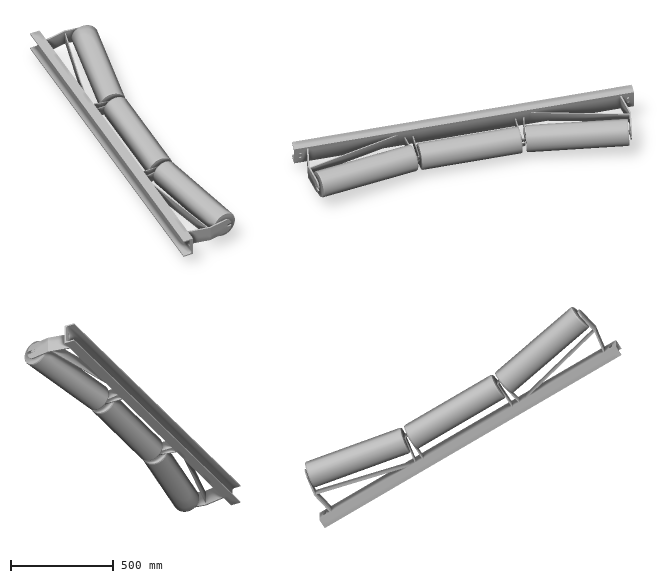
import cadquery as cq
import math

channel_length = 1700.0
channel_height = 100.0
channel_depth = 51.0
channel_wall = 7.0
channel_root_radius = 12.0
mount_slot_inset = 30.0
mount_slot_width = 15.0
mount_slot_length = 37.0

roller_radius = 66.0
roller_length = 502.0
rim_length = 6.0
rim_drop = 2.5
spindle_radius = 10.0
spindle_flats = 14.0
trough_angle = 10.0
forward_tilt = 2.2
centre_roller_y = 170.0
centre_roller_z = -20.0
wing_roller_x = 529.0
wing_roller_y = 215.0
wing_roller_z = -10.0

inner_plate_thickness = 6.0
outer_plate_thickness = 7.6
outer_bracket_width = 80.0
inner_bracket_width = 50.0
outer_tip_radius = 42.0
inner_gap = 2.5
outer_gap = 7.6
spindle_slot_width = 15.0
outer_bend_y = 167.0
outer_tip_y = 292.0
inner_bracket_top = 194.0
inner_bend_radius = 8.0
strut_thickness = 5.0
strut_width = 55.0
strut_foot_x = 340.0

sin_trough = math.sin(math.radians(trough_angle))
cos_trough = math.cos(math.radians(trough_angle))
tan_trough = math.tan(math.radians(trough_angle))
sin_tilt = math.sin(math.radians(forward_tilt))
cos_tilt = math.cos(math.radians(forward_tilt))

inner_reach = inner_gap + inner_plate_thickness
outer_reach = outer_gap + outer_plate_thickness
inner_leg_x = inner_plate_thickness / cos_trough
outer_leg_x = outer_plate_thickness / cos_trough
through = 3 * outer_plate_thickness


def wing_axis_point(distance):
    """Point on the left wing roller axis, a distance outward (-X) from its middle."""
    flat = distance * cos_tilt
    return cq.Vector(
        -wing_roller_x - flat * cos_trough,
        wing_roller_y + flat * sin_trough,
        wing_roller_z + distance * sin_tilt,
    )


def wing_plane(distance):
    """Plane of a sloping leg: local x runs up the leg, local y is Z."""
    return cq.Plane(
        origin=wing_axis_point(distance),
        xDir=(sin_trough, cos_trough, 0),
        normal=(cos_trough, -sin_trough, 0),
    )


def mirrored(body):
    return body.mirror("YZ")


def make_channel():
    half_height = channel_height / 2
    inner_half = half_height - channel_wall
    web_inside = channel_depth - channel_wall
    channel = (
        cq.Workplane("YZ")
        .polyline([
            (0, -half_height),
            (channel_depth, -half_height),
            (channel_depth, half_height),
            (0, half_height),
            (0, inner_half),
            (web_inside, inner_half),
            (web_inside, -inner_half),
            (0, -inner_half),
        ])
        .close()
        .extrude(channel_length / 2, both=True)
    )
    inside_corners = cq.selectors.BoxSelector(
        (-channel_length, web_inside - channel_wall / 2, -inner_half - channel_wall / 2),
        (channel_length, web_inside + channel_wall / 2, inner_half + channel_wall / 2),
    )
    channel = channel.edges("|X").edges(inside_corners).fillet(channel_root_radius)
    mount_slot_x = channel_length / 2 - mount_slot_inset
    mount_slots = (
        cq.Workplane("XZ")
        .pushPoints([(-mount_slot_x, 0), (mount_slot_x, 0)])
        .slot2D(mount_slot_length, mount_slot_width, 90)
        .extrude(-channel_depth)
    )
    return channel.cut(mount_slots)


def make_roller(left_reach, right_reach):
    """Roller along X, centred on the origin, with a flatted spindle past each end."""
    half_length = roller_length / 2
    rim_radius = roller_radius - rim_drop
    shell = (
        cq.Workplane("XY")
        .polyline([
            (-half_length, 0),
            (-half_length, rim_radius),
            (-half_length + rim_length, roller_radius),
            (half_length - rim_length, roller_radius),
            (half_length, rim_radius),
            (half_length, 0),
        ])
        .close()
        .revolve(360, (0, 0, 0), (1, 0, 0))
    )
    spindle_length = left_reach + roller_length + right_reach
    spindle = (
        cq.Workplane("YZ", origin=(-half_length - left_reach, 0, 0))
        .circle(spindle_radius)
        .extrude(spindle_length)
    )
    flats = cq.Workplane("XY").box(2 * spindle_length, 2 * spindle_radius, spindle_flats)
    return shell.union(spindle.intersect(flats))


def make_wing_roller():
    return (
        make_roller(outer_reach, inner_reach)
        .rotate((0, 0, 0), (0, 1, 0), forward_tilt)
        .rotate((0, 0, 0), (0, 0, 1), -trough_angle)
        .translate(wing_axis_point(0))
    )


def spindle_slot(plane):
    """Cutter for an open-topped slot whose floor carries a spindle lying on the plane's origin."""
    slot_depth = 2 * roller_radius
    return (
        cq.Workplane(plane)
        .center(slot_depth / 2 - spindle_radius, 0)
        .rect(slot_depth, spindle_slot_width)
        .extrude(through / 2, both=True)
    )


def rounded_tongue(plane, tip):
    """Outer bracket outline with an arched end; tip is its distance up the plane's local x."""
    half_width = outer_bracket_width / 2
    arc_rise = outer_tip_radius - math.sqrt(outer_tip_radius ** 2 - half_width ** 2)
    shoulder = tip - arc_rise
    bottom = -2 * outer_tip_y
    return (
        cq.Workplane(plane)
        .center(0, -plane.origin.z)
        .moveTo(bottom, -half_width)
        .lineTo(shoulder, -half_width)
        .threePointArc((tip, 0), (shoulder, half_width))
        .lineTo(bottom, half_width)
        .close()
        .extrude(outer_tip_y, both=True)
    )


outer_face = wing_axis_point(roller_length / 2 + outer_reach)
outer_bend_x = outer_face.x - (outer_face.y - outer_bend_y) * tan_trough


def make_outer_bracket():
    """Left end plate, bent outward at mid-height, with a rounded and slotted upper end."""
    def outside(y):
        return outer_bend_x + abs(y - outer_bend_y) * tan_trough

    blank_top = outer_tip_y + outer_bracket_width
    heights = [channel_depth, outer_bend_y, blank_top]
    outside_points = [(outside(y), y) for y in heights]
    inside_points = [(x + outer_leg_x, y) for x, y in reversed(outside_points)]
    bracket = (
        cq.Workplane("XY")
        .polyline(outside_points + inside_points)
        .close()
        .extrude(outer_bracket_width / 2, both=True)
    )
    leg_plane = wing_plane(roller_length / 2 + outer_gap + outer_plate_thickness / 2)
    tip = (outer_tip_y - leg_plane.origin.y) / cos_trough
    tongue = rounded_tongue(leg_plane, tip)
    return bracket.intersect(tongue).cut(spindle_slot(leg_plane))


def make_inner_bracket():
    """Left inverted-U plate: one sloping leg for the wing roller, one upright leg for the centre."""
    sloping_face = wing_axis_point(-roller_length / 2 - inner_gap)
    upright_face = -roller_length / 2 - inner_gap
    underside = inner_bracket_top - inner_plate_thickness

    def sloping(y):
        return sloping_face.x + (y - sloping_face.y) * tan_trough

    bracket = (
        cq.Workplane("XY")
        .polyline([
            (sloping(channel_depth), channel_depth),
            (sloping(inner_bracket_top), inner_bracket_top),
            (upright_face, inner_bracket_top),
            (upright_face, channel_depth),
            (upright_face - inner_plate_thickness, channel_depth),
            (upright_face - inner_plate_thickness, underside),
            (sloping(underside) + inner_leg_x, underside),
            (sloping(channel_depth) + inner_leg_x, channel_depth),
        ])
        .close()
        .extrude(inner_bracket_width / 2, both=True)
        .translate((0, 0, centre_roller_z))
    )
    bracket = bracket.faces(">Y").edges("|Z").fillet(inner_bend_radius)
    sloping_plane = wing_plane(-roller_length / 2 - inner_gap - inner_plate_thickness / 2)
    upright_plane = cq.Plane(
        origin=(upright_face - inner_plate_thickness / 2, centre_roller_y, centre_roller_z),
        xDir=(0, 1, 0),
        normal=(1, 0, 0),
    )
    return bracket.cut(spindle_slot(sloping_plane)).cut(spindle_slot(upright_plane))


def make_strut(bracket):
    """Left brace from the web to the inside of the outer bracket's bend."""
    top_x = outer_bend_x + outer_leg_x / 2
    run = -strut_foot_x - top_x
    rise = outer_bend_y - channel_depth
    thickness_y = strut_thickness * math.hypot(run, rise) / run
    foot_length = thickness_y * run / rise
    strut = (
        cq.Workplane("XY")
        .polyline([
            (top_x, outer_bend_y - thickness_y / 2),
            (top_x, outer_bend_y + thickness_y / 2),
            (-strut_foot_x + foot_length / 2, channel_depth),
            (-strut_foot_x - foot_length / 2, channel_depth),
        ])
        .close()
        .extrude(strut_width / 2, both=True)
    )
    return strut.cut(bracket)


channel = make_channel()
centre_roller = make_roller(inner_reach, inner_reach).translate((0, centre_roller_y, centre_roller_z))
outer_bracket = make_outer_bracket()
left_bodies = [make_wing_roller(), outer_bracket, make_inner_bracket(), make_strut(outer_bracket)]

bodies = [channel.solids().val(), centre_roller.solids().val()]
for body in left_bodies:
    bodies.append(body.solids().val())
    bodies.append(mirrored(body).solids().val())

result = cq.Compound.makeCompound(bodies)